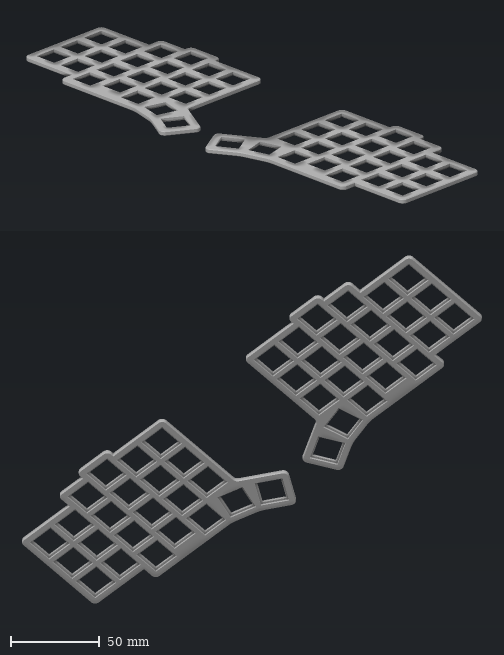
import cadquery as cq
import math

total_width = 301.0
total_depth = 100.0
thickness = 2.8

column_count = 6
column_span = 95.0
pitch = column_span / (column_count - 1)
key_gap = 5.0
hole_size = pitch - key_gap
reach = 12.0

relief_margin = 1.2
relief_size = hole_size + 2 * relief_margin
web_thickness = 1.5

middle_drop = pitch / 4
outer_drop = middle_drop + pitch / 2

inner_thumb_tilt = -15
outer_thumb_tilt = -30
inner_thumb_offset = (2.0, -60.0)
outer_thumb_offset = (21.7, -68.0)

corner_radius = 3.3
edge_chamfer = 0.45
bend_radius = 21.0

column_x = [-total_width / 2 + reach + i * pitch for i in range(column_count)]
tallest_y = total_depth / 2 - reach
middle_y = tallest_y - middle_drop
outer_y = tallest_y - outer_drop
columns = [(outer_y, 3), (outer_y, 3), (middle_y, 4), (tallest_y, 4), (middle_y, 4), (middle_y, 3)]
inner_thumb = (column_x[5] + inner_thumb_offset[0], middle_y + inner_thumb_offset[1])
outer_thumb = (column_x[5] + outer_thumb_offset[0], middle_y + outer_thumb_offset[1])


def thumb_point(centre, tilt, along, across):
    """Point at (along, across) in the tilted frame of a thumb key."""
    c = math.cos(math.radians(tilt))
    s = math.sin(math.radians(tilt))
    return (centre[0] + along * c - across * s, centre[1] + along * s + across * c)


def meet(p, p_tilt, q, q_tilt):
    """Crossing point of two lines, each given by a point and a tilt."""
    px, py = math.cos(math.radians(p_tilt)), math.sin(math.radians(p_tilt))
    qx, qy = math.cos(math.radians(q_tilt)), math.sin(math.radians(q_tilt))
    t = ((q[0] - p[0]) * qy - (q[1] - p[1]) * qx) / (px * qy - py * qx)
    return (p[0] + t * px, p[1] + t * py)


left_edge = column_x[0] - reach
step_edge = column_x[2] - reach
tab_left = column_x[3] - reach
tab_right = column_x[3] + reach
right_edge = column_x[5] + reach
outer_top = outer_y + reach
outer_bottom = outer_y - 2 * pitch - reach
middle_top = middle_y + reach
middle_bottom = middle_y - 3 * pitch - reach
tab_top = tallest_y + reach

thumb_tip_top = thumb_point(outer_thumb, outer_thumb_tilt, reach, reach)
thumb_tip_bottom = thumb_point(outer_thumb, outer_thumb_tilt, reach, -reach)
inner_thumb_base = thumb_point(inner_thumb, inner_thumb_tilt, 0, -reach)
thumb_notch = meet(thumb_tip_top, outer_thumb_tilt, (right_edge, 0), 90)
outer_bend = meet(thumb_tip_bottom, outer_thumb_tilt, inner_thumb_base, inner_thumb_tilt)
inner_bend = meet(inner_thumb_base, inner_thumb_tilt, (0, middle_bottom), 0)

rounded_corners = [
    (left_edge, outer_bottom),
    (left_edge, outer_top),
    (step_edge, middle_top),
    (tab_left, tab_top),
    (tab_right, tab_top),
    (right_edge, middle_top),
    thumb_notch,
    thumb_tip_top,
    thumb_tip_bottom,
    (step_edge, middle_bottom),
]


def round_edges(plate, points, radius):
    """Fillet the upright edges that stand on the given points."""
    for point in points:
        plate = plate.edges(cq.selectors.NearestToPointSelector((*point, thickness / 2))).fillet(radius)
    return plate


def plate_blank():
    """Plate without openings, chamfered along its upper and lower outline."""
    outline = [
        (left_edge, outer_bottom),
        (left_edge, outer_top),
        (step_edge, outer_top),
        (step_edge, middle_top),
        (tab_left, middle_top),
        (tab_left, tab_top),
        (tab_right, tab_top),
        (tab_right, middle_top),
        (right_edge, middle_top),
        thumb_notch,
        thumb_tip_top,
        thumb_tip_bottom,
        outer_bend,
        inner_bend,
        (step_edge, middle_bottom),
        (step_edge, outer_bottom),
    ]
    blank = cq.Workplane("XY").polyline(outline).close().extrude(thickness)
    blank = round_edges(blank, rounded_corners, corner_radius)
    blank = round_edges(blank, [outer_bend, inner_bend], bend_radius)
    return blank.faces("|Z").edges().chamfer(edge_chamfer)


def key_openings():
    """Centre and tilt of every key opening of the left plate."""
    openings = [(inner_thumb, inner_thumb_tilt), (outer_thumb, outer_thumb_tilt)]
    for x, (top_y, key_count) in zip(column_x, columns):
        for row in range(key_count):
            openings.append(((x, top_y - row * pitch), 0))
    return openings


def square_prisms(side, height):
    """Upright square prisms standing at z = 0 on every key opening."""
    prism = cq.Workplane("XY").rect(side, side).extrude(height)
    prisms = []
    for (x, y), tilt in key_openings():
        prisms.append(prism.rotate((0, 0, 0), (0, 0, 1), tilt).translate((x, y, 0)).val())
    return cq.Compound.makeCompound(prisms)


def left_key_plate():
    """Left plate with its key holes and the reliefs beneath them."""
    holes = square_prisms(hole_size, thickness)
    reliefs = square_prisms(relief_size, thickness - web_thickness)
    return plate_blank().cut(cq.Workplane(holes)).cut(cq.Workplane(reliefs))


left_plate = left_key_plate()
right_plate = left_plate.mirror("YZ")

result = cq.Compound.makeCompound([left_plate.val(), right_plate.val()])